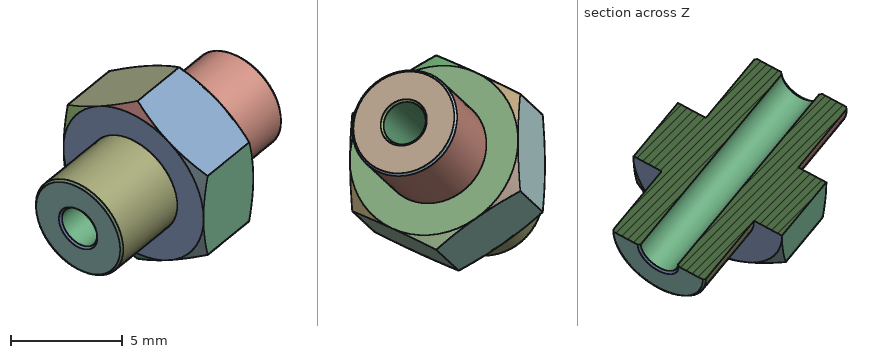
import cadquery as cq
import math

across_flats = 8.0
hex_length = 3.6
spigot_diameter = 5.0
spigot_length = 4.0
bore_diameter = 2.0
edge_chamfer = 0.1
corner_chamfer_depth = 0.3

across_corners = across_flats / math.cos(math.radians(30))
total_length = hex_length + 2 * spigot_length


def chamfered_cylinder(radius, length, chamfer_radial, chamfer_axial):
    """Cylinder centred on the Y axis with a conical chamfer at both ends."""
    half_length = length / 2
    profile = [
        (0, -half_length),
        (radius - chamfer_radial, -half_length),
        (radius, -half_length + chamfer_axial),
        (radius, half_length - chamfer_axial),
        (radius - chamfer_radial, half_length),
        (0, half_length),
    ]
    return cq.Workplane("XY").polyline(profile).close().revolve(360, (0, 0, 0), (0, 1, 0))


def hexagon():
    """Hexagonal collar with corners up and down and conically trimmed ends."""
    prism = (
        cq.Workplane("XZ")
        .transformed(rotate=(0, 0, 90))
        .polygon(6, across_corners)
        .extrude(hex_length / 2, both=True)
    )
    corner_radius = across_corners / 2
    corner_overhang = corner_radius - across_flats / 2
    trim = chamfered_cylinder(corner_radius, hex_length, corner_overhang, corner_chamfer_depth)
    return prism.intersect(trim)


def spigots():
    """Round bar that forms the spigots on both sides of the collar."""
    return chamfered_cylinder(spigot_diameter / 2, total_length, edge_chamfer, edge_chamfer)


def bore():
    """Through bore, widened by a small countersink at each mouth."""
    return chamfered_cylinder(bore_diameter / 2, total_length, -edge_chamfer, edge_chamfer)


result = hexagon().union(spigots()).cut(bore())